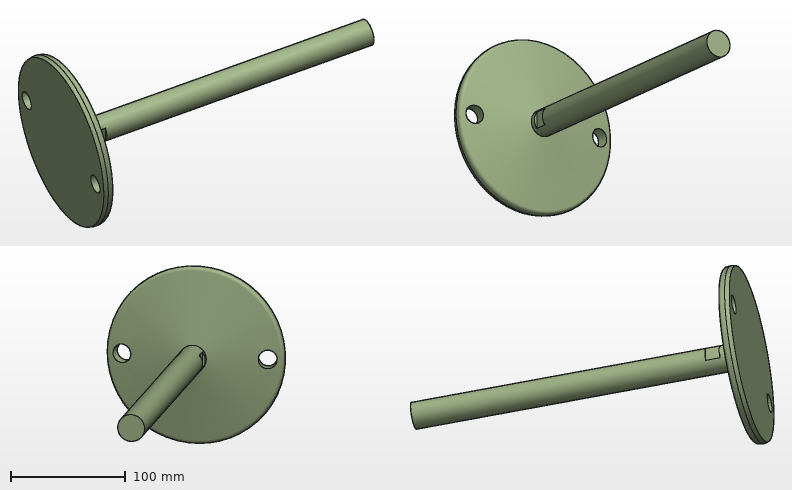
import cadquery as cq
import math

total_length = 304.0
foot_radius = 158.0 / 2
rod_radius = 24.0 / 2

slope = math.radians(10)
sole_radius = 78.0
flare_height = 4.0
rim_height = 7.3
rim_top_radius = 78.7
shoulder_radius = 76.0
neck_height = 21.3
shoulder_height = neck_height - (shoulder_radius - rod_radius) * math.tan(slope)

flat_start = 26.0
flat_length = 12.8
across_flats = 19.0

hole_diameter = 16.5
hole_offset = 62.5
hole_overrun = 30.5


def make_body():
    """Foot and rod as one revolved profile."""
    profile = (
        cq.Workplane("XY")
        .lineTo(0, total_length)
        .lineTo(rod_radius, total_length)
        .lineTo(rod_radius, neck_height)
        .lineTo(shoulder_radius, shoulder_height)
        .tangentArcPoint((rim_top_radius, rim_height), relative=False)
        .lineTo(foot_radius, flare_height)
        .lineTo(sole_radius, 0)
        .close()
    )
    return profile.revolve(360, (0, 0, 0), (0, 1, 0))


def make_flat_cutter(side):
    """Block that removes one flat; side is -1 or 1 along X."""
    block = cq.Workplane("XY").box(rod_radius, flat_length, 2 * rod_radius)
    block_center = (across_flats + rod_radius) / 2
    return block.translate((side * block_center, flat_start + flat_length / 2, 0))


def make_hole_cutter(side):
    """Cylinder leaning outward from the sole, normal to the cone."""
    direction = cq.Vector(side * math.sin(slope), math.cos(slope), 0)
    start = cq.Vector(side * hole_offset, 0, 0) - direction * hole_overrun
    cutter_length = neck_height + 2 * hole_overrun
    return cq.Workplane(cq.Solid.makeCylinder(hole_diameter / 2, cutter_length, start, direction))


result = make_body()
for side in (-1, 1):
    result = result.cut(make_flat_cutter(side))
    result = result.cut(make_hole_cutter(side))